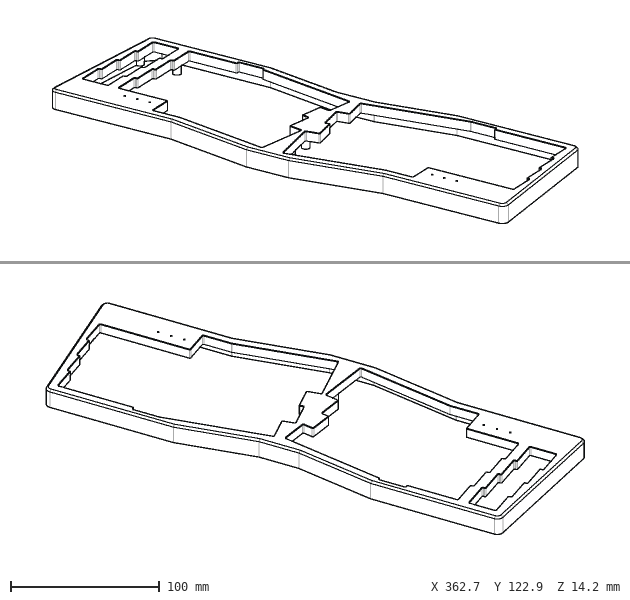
import cadquery as cq
import math

HALF_LENGTH = 362.66 / 2
HALF_DEPTH = 122.91 / 2
HEIGHT = 14.24

SLANT = math.radians(10)
FRONT_SHOULDER_X = 84.6
FRONT_CENTRE_HALF_WIDTH = 16.9
REAR_SHOULDER_X = 74.2
REAR_CENTRE_HALF_WIDTH = 15.0
SIDE_SLOPE = 0.095
CORNER_RADIUS = 4.5
RIM_CHAMFER = 1.5

PLATE_THICKNESS = 7.2
WALL_THICKNESS = 2.5
CAVITY_HEIGHT = HEIGHT - PLATE_THICKNESS
CORNER_BLOCK_SUM = 219.9

KEY = 19.05
GAP = 0.5
ROW_SHIFT = KEY / 8
ROW_COUNT = 5
WING_ROW_COUNT = 4
ROW_TOP = 53.5
WING_EDGE = 164.1
TAB_EDGE = 103.7
OPENING_CORNER_RADIUS = 0.75
OPENING_CHAMFER = 0.4

REAR_EDGE = ROW_TOP + GAP
RAISED_REAR_EDGE = REAR_EDGE + ROW_SHIFT
TAB_REAR_EDGE = ROW_TOP - WING_ROW_COUNT * KEY - GAP
FRONT_EDGE = ROW_TOP - ROW_COUNT * KEY - GAP

CLUSTER_ORIGIN = (0.1, 41.0)
CLUSTER_DEPTH = ROW_COUNT * KEY + 2 * GAP
CLUSTER_STEP = KEY / 16
LEFT_STEPS = (0, -7, -2, 7, 7)
RIGHT_STEPS = (-7, 1, -2, 7, 7)

LED_DIAMETER = 1.0
LED_X = 122.5
LED_Y = -32.2
LED_PITCH = 9.9

STANDOFF_DIAMETER = 6.0
STANDOFF_POINTS = [
    (-0.7, -12.5),
    (0, -32.2),
    (-140.2, 45.4),
    (-169.4, 44.8),
    (169.4, 44.8),
]


def mirrored(points):
    return [(-x, y) for x, y in points]


def outline_points():
    front_y = -HALF_DEPTH + math.tan(SLANT) * (FRONT_SHOULDER_X - FRONT_CENTRE_HALF_WIDTH)
    rear_centre_y = HALF_DEPTH - math.tan(SLANT) * (REAR_SHOULDER_X - REAR_CENTRE_HALF_WIDTH)
    front_corner_x = HALF_LENGTH + CORNER_RADIUS * (SIDE_SLOPE + math.hypot(1, SIDE_SLOPE) - 1)
    rear_corner_x = front_corner_x - SIDE_SLOPE * (HALF_DEPTH - front_y)
    right_half = [
        (FRONT_CENTRE_HALF_WIDTH, -HALF_DEPTH),
        (FRONT_SHOULDER_X, front_y),
        (front_corner_x, front_y),
        (rear_corner_x, HALF_DEPTH),
        (REAR_SHOULDER_X, HALF_DEPTH),
        (REAR_CENTRE_HALF_WIDTH, rear_centre_y),
    ]
    return right_half + mirrored(reversed(right_half))


def cluster_point(across, down):
    """Point of the left cluster: `across` towards the centre line, `down` towards the front."""
    x, y = CLUSTER_ORIGIN
    return (
        x + across * math.cos(SLANT) - down * math.sin(SLANT),
        y - across * math.sin(SLANT) - down * math.cos(SLANT),
    )


def slanted_edge_x(y, down):
    """X where the slanted edge at distance `down` in the left cluster crosses height y."""
    edge_x, edge_y = cluster_point(0, down)
    return edge_x - (y - edge_y) / math.tan(SLANT)


def slanted_edge_y(x, down):
    """Y of the slanted edge at distance `down` in the left cluster, at position x."""
    edge_x, edge_y = cluster_point(0, down)
    return edge_y - (x - edge_x) * math.tan(SLANT)


def wing_stair(first_x, step_gap):
    """Stepped edge along the wing rows, from rear to front."""
    points = [(first_x, REAR_EDGE)]
    for row in range(1, WING_ROW_COUNT):
        step_y = ROW_TOP - row * KEY + step_gap
        points.append((first_x - (row - 1) * ROW_SHIFT, step_y))
        points.append((first_x - row * ROW_SHIFT, step_y))
    points.append((first_x - (WING_ROW_COUNT - 1) * ROW_SHIFT, TAB_REAR_EDGE))
    return points


def centre_stair(steps):
    """Stepped edge of a cluster beside the centre line, from rear to front."""
    points = [cluster_point(steps[0] * CLUSTER_STEP, 0)]
    for row in range(1, ROW_COUNT):
        before = steps[row - 1]
        after = steps[row]
        if after == before:
            continue
        down = row * KEY + (2 * GAP if after < before else 0)
        points.append(cluster_point(before * CLUSTER_STEP, down))
        points.append(cluster_point(after * CLUSTER_STEP, down))
    points.append(cluster_point(steps[-1] * CLUSTER_STEP, CLUSTER_DEPTH))
    return points


def tab_edge_points():
    return [
        (slanted_edge_x(FRONT_EDGE, CLUSTER_DEPTH), FRONT_EDGE),
        (-TAB_EDGE, FRONT_EDGE),
        (-TAB_EDGE, TAB_REAR_EDGE),
    ]


def column_opening_points():
    outer = wing_stair(-WING_EDGE - GAP, GAP)
    inner = wing_stair(-WING_EDGE + KEY + GAP, -GAP)
    return outer + inner[::-1]


def left_opening_points():
    outer_x = -WING_EDGE + 1.5 * KEY - GAP
    raised_start = outer_x + 2 * KEY
    raised_end = raised_start + KEY + 2 * GAP
    rear = [
        (raised_start, REAR_EDGE),
        (raised_start, RAISED_REAR_EDGE),
        (raised_end, RAISED_REAR_EDGE),
        (raised_end, slanted_edge_y(raised_end, 0)),
    ]
    outer = wing_stair(outer_x, GAP)
    return rear + centre_stair(LEFT_STEPS) + tab_edge_points() + outer[::-1]


def right_opening_points():
    """Laid out on the left, like the other openings, then mirrored."""
    outer_x = -WING_EDGE - GAP
    raised_start = outer_x + 3 * KEY
    rear = [
        (raised_start, REAR_EDGE),
        (raised_start, RAISED_REAR_EDGE),
        (slanted_edge_x(RAISED_REAR_EDGE, 0), RAISED_REAR_EDGE),
    ]
    outer = wing_stair(outer_x, GAP)
    return mirrored(rear + centre_stair(RIGHT_STEPS) + tab_edge_points() + outer[::-1])


def prism(points, height):
    return cq.Workplane("XY").polyline(points).close().extrude(height)


def make_blank():
    blank = prism(outline_points(), HEIGHT)
    for side in ("<X", ">X"):
        blank = blank.faces(side).edges("|Z").fillet(CORNER_RADIUS)
    return blank


def make_cavity(blank):
    rim = blank.faces("<Z").wires().vals()
    cavity = cq.Workplane("XY").add(rim).toPending().offset2D(-WALL_THICKNESS).extrude(CAVITY_HEIGHT)
    block = [
        (CORNER_BLOCK_SUM - HALF_DEPTH, HALF_DEPTH),
        (HALF_LENGTH, HALF_DEPTH),
        (HALF_LENGTH, CORNER_BLOCK_SUM - HALF_LENGTH),
    ]
    for points in (block, mirrored(block)):
        cavity = cavity.cut(prism(points, CAVITY_HEIGHT))
    return cavity


def cut_openings(body):
    for points in (column_opening_points(), left_opening_points(), right_opening_points()):
        body = body.cut(prism(points, HEIGHT).edges("|Z").fillet(OPENING_CORNER_RADIUS))
    top_face = body.faces(">Z").val()
    opening_edges = [edge for wire in top_face.innerWires() for edge in wire.Edges()]
    return body.newObject(opening_edges).chamfer(OPENING_CHAMFER)


def make_led_holes():
    points = [(side * LED_X + i * LED_PITCH, LED_Y) for side in (-1, 1) for i in (-1, 0, 1)]
    return cq.Workplane("XY").pushPoints(points).circle(LED_DIAMETER / 2).extrude(HEIGHT)


def make_standoffs():
    return cq.Workplane("XY").pushPoints(STANDOFF_POINTS).circle(STANDOFF_DIAMETER / 2).extrude(CAVITY_HEIGHT)


blank = make_blank()
body = blank.faces(">Z").chamfer(RIM_CHAMFER).cut(make_cavity(blank))
body = cut_openings(body)
body = body.cut(make_led_holes())
result = body.union(make_standoffs())